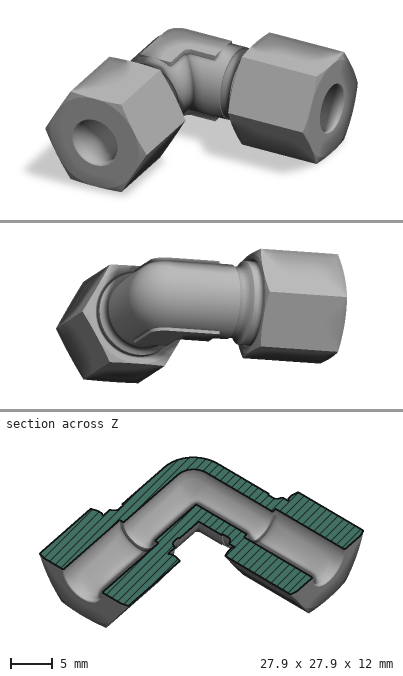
import cadquery as cq
import math


overall_length = 27.93
hex_across_flats = 12.0
hex_across_corners = hex_across_flats / math.cos(math.radians(30))
leg_length = overall_length - hex_across_corners / 2

body_radius = 9.0 / 2
bore_radius = 4.8 / 2
neck_radius = 8.6 / 2
neck_start = 8.07
flare_start = 8.88
flare_radius = 0.61
flare_angle = math.radians(60)
collar_radius = 10.1 / 2

nut_start_x_leg = 10.3
nut_start_y_leg = 10.73
hex_chamfer_angle = math.radians(15)
tube_radius = 6.0 / 2
tube_stop = nut_start_x_leg
mouth_chamfer = 0.08
countersink = 0.28

pad_outer = 1.85
pad_inner = 2.37
pad_end = 6.3
pad_corner_radius = 0.75


def revolve_about_x(profile):
    return profile.close().revolve(360, (0, 0, 0), (1, 0, 0))


def leg_body(nut_start):
    """Round body, neck, flare and collar, solid up to the bottom of the nut countersink."""
    def flare_point(angle):
        return (flare_start + flare_radius * math.sin(angle),
                neck_radius + flare_radius * (1 - math.cos(angle)))

    flare_end = flare_point(flare_angle)
    collar_start = flare_end[0] + (collar_radius - flare_end[1]) / math.tan(flare_angle)
    collar_end = nut_start + countersink
    profile = (
        cq.Workplane("XY")
        .lineTo(0, body_radius)
        .lineTo(neck_start, body_radius)
        .lineTo(neck_start, neck_radius)
        .lineTo(flare_start, neck_radius)
        .threePointArc(flare_point(flare_angle / 2), flare_end)
        .lineTo(collar_start, collar_radius)
        .lineTo(collar_end, collar_radius)
        .lineTo(collar_end, 0)
    )
    return revolve_about_x(profile)


def nut(nut_start):
    """Hexagon nut with chamfered corners and a countersink around the collar."""
    flat_radius = hex_across_flats / 2
    corner_radius = hex_across_corners / 2
    chamfer_length = (corner_radius - flat_radius) * math.tan(hex_chamfer_angle)
    hexagon = (
        cq.Workplane("YZ", origin=(nut_start, 0, 0))
        .polygon(6, hex_across_corners)
        .extrude(leg_length - nut_start)
    )
    envelope = revolve_about_x(
        cq.Workplane("XY")
        .moveTo(nut_start, 0)
        .lineTo(nut_start, flat_radius)
        .lineTo(nut_start + chamfer_length, corner_radius)
        .lineTo(leg_length - chamfer_length, corner_radius)
        .lineTo(leg_length, flat_radius)
        .lineTo(leg_length, 0)
    )
    recess = revolve_about_x(
        cq.Workplane("XY")
        .moveTo(nut_start, 0)
        .lineTo(nut_start, collar_radius + countersink)
        .lineTo(nut_start + countersink, collar_radius)
        .lineTo(nut_start + countersink, 0)
    )
    return hexagon.intersect(envelope).cut(recess)


def leg_bore():
    """Through bore widened for the tube, with a small chamfer at the mouth."""
    return revolve_about_x(
        cq.Workplane("XY")
        .lineTo(0, bore_radius)
        .lineTo(tube_stop, bore_radius)
        .lineTo(tube_stop, tube_radius)
        .lineTo(leg_length - mouth_chamfer, tube_radius)
        .lineTo(leg_length, tube_radius + mouth_chamfer)
        .lineTo(leg_length, 0)
    )


def turn_to_minus_y(shape):
    return shape.rotate((0, 0, 0), (0, 0, 1), -90)


def pads():
    """L-shaped plate through the elbow; its faces are level with the body top and bottom."""
    return (
        cq.Workplane("XY", origin=(0, 0, -body_radius))
        .moveTo(0, pad_outer)
        .lineTo(pad_end, pad_outer)
        .lineTo(pad_end, -pad_inner)
        .lineTo(pad_inner + pad_corner_radius, -pad_inner)
        .radiusArc((pad_inner, -pad_inner - pad_corner_radius), -pad_corner_radius)
        .lineTo(pad_inner, -pad_end)
        .lineTo(-pad_outer, -pad_end)
        .lineTo(-pad_outer, 0)
        .radiusArc((0, pad_outer), pad_outer)
        .close()
        .extrude(2 * body_radius)
    )


outside = (
    cq.Workplane("XY").sphere(body_radius)
    .union(leg_body(nut_start_x_leg))
    .union(turn_to_minus_y(leg_body(nut_start_y_leg)))
    .union(pads())
    .union(nut(nut_start_x_leg))
    .union(turn_to_minus_y(nut(nut_start_y_leg)))
)

passage = (
    cq.Workplane("XY").sphere(bore_radius)
    .union(leg_bore())
    .union(turn_to_minus_y(leg_bore()))
)

result = outside.cut(passage)